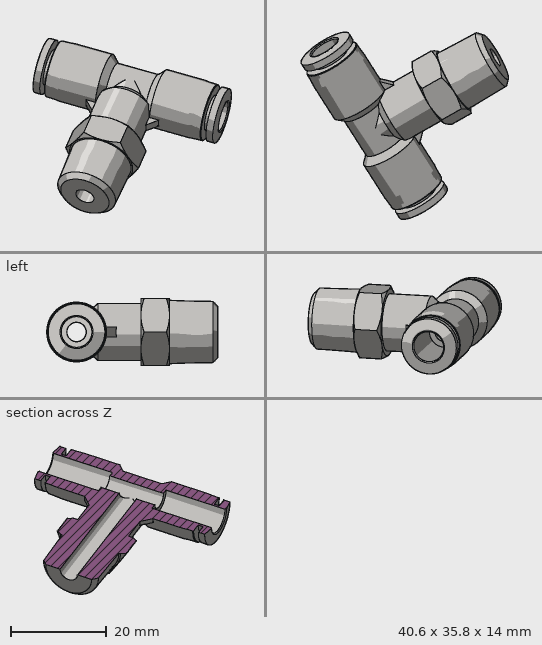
import cadquery as cq
import math


core_radius = 4.75
socket_radius = 6.25
socket_inner_end = 6.0
socket_shoulder = socket_radius - core_radius
taper_start = 14.25
band_start = 16.3
band_radius = 6.1
socket_outer_end = 17.35
edge_break = 0.15

collar_neck_radius = 3.85
flange_inner_face = 18.4
flange_rim_end = 19.9
flange_radius = 5.9
run_half_length = 20.3
collar_lip_radius = 3.65

passage_radius = 2.0
tube_radius = 3.2
tube_mouth_radius = 3.45
tube_lead_in = tube_mouth_radius - tube_radius
tube_bore_depth = 14.0

stem_radius = 6.0
stem_cone_end = 4.45
stem_cone_start = 3.05
hex_start = 13.45
hex_end = 19.4
hex_sides = 6
hex_flats = 14.0
hex_chamfer_angle = 30.0

thread_base_radius = 6.65
thread_tip_radius = 6.42
thread_chamfer_start = 28.45
stem_length = 29.5
stem_tip_radius = 5.35

gusset_thickness = 2.0
gusset_leg = 14.25


def revolve_on_x(points):
    """Turn an (x, radius) outline about the X axis."""
    return cq.Workplane("XY").polyline(points).close().revolve(360, (0, 0), (1, 0))


def revolve_on_stem(points):
    """Turn a (radius, distance along -Y) outline about the Y axis."""
    outline = [(radius, -distance) for radius, distance in points]
    return cq.Workplane("XY").polyline(outline).close().revolve(360, (0, 0), (0, 1))


def run_half():
    """Centre core, socket and release collar on the +X side."""
    return revolve_on_x([
        (0, 0),
        (0, core_radius),
        (socket_inner_end - socket_shoulder, core_radius),
        (socket_inner_end, socket_radius),
        (taper_start, socket_radius),
        (band_start, band_radius),
        (socket_outer_end - edge_break, band_radius),
        (socket_outer_end, band_radius - edge_break),
        (socket_outer_end, collar_neck_radius),
        (flange_inner_face, collar_neck_radius),
        (flange_inner_face, flange_radius),
        (flange_rim_end, flange_radius),
        (run_half_length, collar_lip_radius),
        (run_half_length, 0),
    ])


def tube_bore():
    """Tube socket on the +X side, widened at its mouth."""
    return revolve_on_x([
        (run_half_length - tube_bore_depth, 0),
        (run_half_length - tube_bore_depth, tube_radius),
        (run_half_length - tube_lead_in, tube_radius),
        (run_half_length, tube_mouth_radius),
        (run_half_length, 0),
    ])


def both_sides(half):
    """Join a +X half with its mirror image."""
    return half.union(half.mirror("YZ"))


def stem():
    """Round stem and tapered thread."""
    return revolve_on_stem([
        (0, 0),
        (core_radius, 0),
        (core_radius, stem_cone_start),
        (stem_radius, stem_cone_end),
        (stem_radius, hex_end),
        (thread_base_radius, hex_end),
        (thread_tip_radius, thread_chamfer_start),
        (stem_tip_radius, stem_length),
        (0, stem_length),
    ])


def wrench_hex():
    """Hexagon with flats on +Z and -Z, its corners chamfered at both ends."""
    flat_radius = hex_flats / 2
    corner_radius = flat_radius / math.cos(math.pi / hex_sides)
    chamfer_depth = (corner_radius - flat_radius) * math.tan(math.radians(hex_chamfer_angle))
    prism = (
        cq.Workplane("XZ", origin=(0, -hex_start, 0))
        .polygon(hex_sides, 2 * corner_radius)
        .extrude(hex_end - hex_start)
    )
    envelope = revolve_on_stem([
        (0, hex_start),
        (flat_radius, hex_start),
        (corner_radius, hex_start + chamfer_depth),
        (corner_radius, hex_end - chamfer_depth),
        (flat_radius, hex_end),
        (0, hex_end),
    ])
    return prism.intersect(envelope)


def gussets():
    """Thin triangular web filling both corners between stem and run."""
    return (
        cq.Workplane("XY")
        .polyline([(-gusset_leg, 0), (gusset_leg, 0), (0, -gusset_leg)])
        .close()
        .extrude(gusset_thickness / 2, both=True)
    )


def passages():
    """Flow passage through the run and down the stem."""
    run = cq.Workplane("YZ").circle(passage_radius).extrude(run_half_length, both=True)
    branch = cq.Workplane("XZ").circle(passage_radius).extrude(stem_length)
    return run.union(branch)


body = both_sides(run_half()).union(stem()).union(wrench_hex()).union(gussets())
result = body.cut(both_sides(tube_bore())).cut(passages())